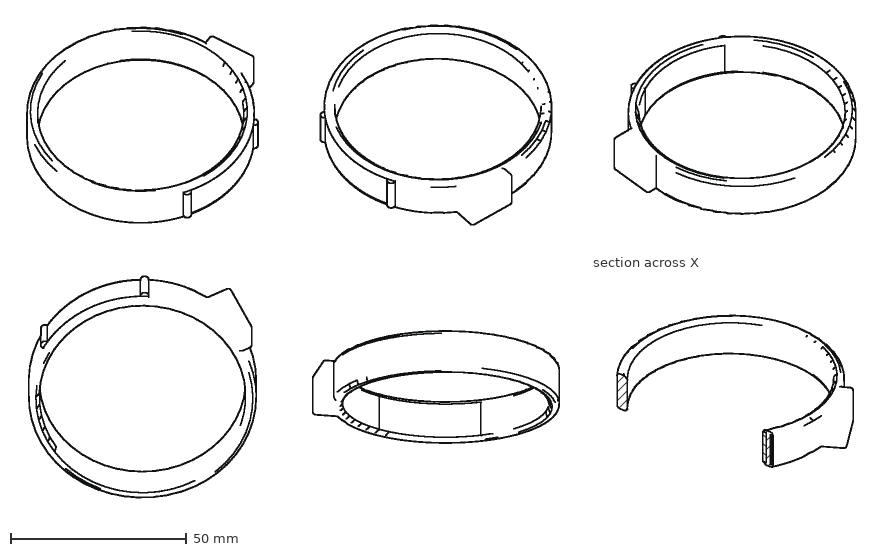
import cadquery as cq
import math

outer_radius = 32.5
bore_radius = 29.5
ring_height = 12.0
edge_fillet = 1.0

tab_turn = 27.5
tab_left = 0.7
tab_right = 15.7
tab_reach = 35.65
tab_root_fillet = 0.3
tab_corner_fillet = 1.0

insert_height = ring_height - 2 * edge_fillet
insert_mid_angle = 25
insert_span = 60
key_diameter = 2.4


def ring_point(radius, angle):
    """Point at a polar position about the ring axis, the angle in degrees."""
    return radius * math.cos(math.radians(angle)), radius * math.sin(math.radians(angle))


def upright(height):
    """Workplane at the bottom of a body of this height, centred on the middle of the ring."""
    return cq.Workplane("XY", origin=(0, 0, -height / 2))


def make_blank():
    """Disc and tab as one solid, with the tab's outer corners and right root rounded."""
    disc = upright(ring_height).circle(outer_radius).extrude(ring_height)
    tab_width = tab_right - tab_left
    tab = (
        upright(ring_height)
        .center(tab_left + tab_width / 2, tab_reach / 2)
        .rect(tab_width, tab_reach)
        .extrude(ring_height)
        .edges("|Z and >Y")
        .fillet(tab_corner_fillet)
        .rotate((0, 0, 0), (0, 0, 1), tab_turn)
    )
    right_root_angle = tab_turn + math.degrees(math.acos(tab_right / outer_radius))
    right_root = (*ring_point(outer_radius, right_root_angle), 0)
    blank = disc.union(tab)
    return blank.edges(cq.selectors.NearestToPointSelector(right_root)).fillet(tab_root_fillet)


def make_insert():
    """Wall sector from bore to outside, merged with its two end keys."""
    start_angle = insert_mid_angle - insert_span / 2
    end_angle = insert_mid_angle + insert_span / 2
    insert = (
        upright(insert_height)
        .moveTo(*ring_point(bore_radius, start_angle))
        .lineTo(*ring_point(outer_radius, start_angle))
        .threePointArc(ring_point(outer_radius, insert_mid_angle), ring_point(outer_radius, end_angle))
        .lineTo(*ring_point(bore_radius, end_angle))
        .threePointArc(ring_point(bore_radius, insert_mid_angle), ring_point(bore_radius, start_angle))
        .close()
        .extrude(insert_height)
    )
    for angle in (start_angle, end_angle):
        key = (
            upright(insert_height)
            .center(*ring_point(outer_radius, angle))
            .circle(key_diameter / 2)
            .extrude(insert_height)
        )
        insert = insert.union(key)
    return insert


def make_ring(insert):
    """Blank with the bore, rounded rims and the window that holds the insert."""
    bore = upright(ring_height).circle(bore_radius).extrude(ring_height)
    rounded = make_blank().cut(bore).faces("<Z or >Z").edges().fillet(edge_fillet)
    return rounded.cut(insert)


insert = make_insert()
ring = make_ring(insert)

result = cq.Compound.makeCompound([ring.val(), insert.val()])